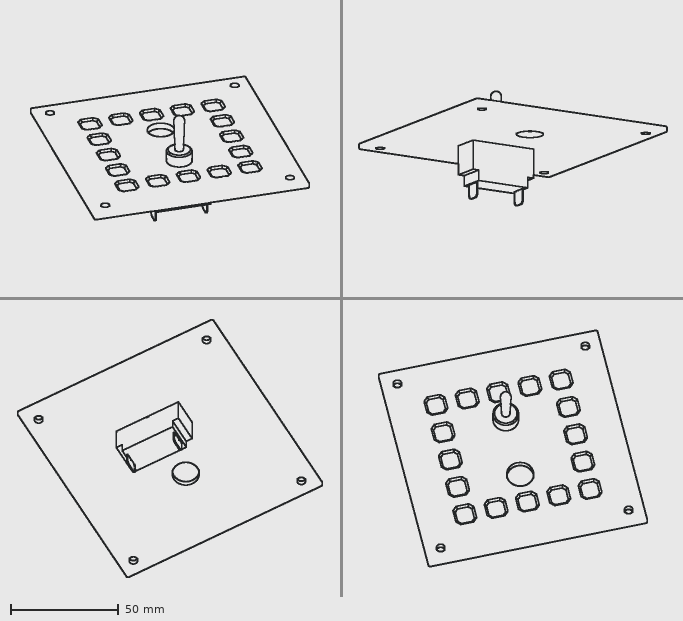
import cadquery as cq

PANEL_SIDE = 105.0
GRID_PITCH = PANEL_SIDE / 7
PANEL_THICKNESS = 3.0
PANEL_EDGE_RADIUS = 1.0
SCREW_HOLE_DIAMETER = 4.0
SCREW_HOLE_SPACING = 6 * GRID_PITCH
OPEN_HOLE_DIAMETER = 12.6
SWITCH_OFFSET = GRID_PITCH

POCKET_COUNT = 5
POCKET_SIDE = 10.0
POCKET_CORNER_CUT = 2.0
POCKET_DEPTH = 1.0
POCKET_WALL_ANGLE = 45.0

HOUSING_WIDTH = 13.0
HOUSING_LENGTH = 33.3
HOUSING_HEIGHT = 14.0
BASE_LENGTH = 27.0
BASE_HEIGHT = 5.0
TERMINAL_WIDTH = 7.0
TERMINAL_THICKNESS = 0.5
TERMINAL_HEIGHT = 7.0
TERMINAL_SPACING = 25.0
TERMINAL_CORNER_RADIUS = 2.0

COLLAR_DIAMETER = 12.0
COLLAR_HEIGHT = 6.0
COLLAR_CHAMFER = 0.7
LEVER_HEIGHT = 18.0
LEVER_FOOT_RADIUS = 2.0
LEVER_TIP_RADIUS = 2.5

COLLAR_TOP = PANEL_THICKNESS + COLLAR_HEIGHT
BASE_BOTTOM = -HOUSING_HEIGHT - BASE_HEIGHT


def pocket_positions():
    """Centres of the outermost ring of cells in a square grid."""
    last = POCKET_COUNT - 1
    return [
        ((column - last / 2) * GRID_PITCH, (row - last / 2) * GRID_PITCH)
        for column in range(POCKET_COUNT)
        for row in range(POCKET_COUNT)
        if column in (0, last) or row in (0, last)
    ]


def make_pocket_cutter():
    """Octagonal plug that narrows downward, with its wide face at Z = 0."""
    outline = cq.Sketch().rect(POCKET_SIDE, POCKET_SIDE).vertices().chamfer(POCKET_CORNER_CUT)
    return cq.Workplane("XY").placeSketch(outline).extrude(-POCKET_DEPTH, taper=POCKET_WALL_ANGLE)


def make_panel():
    """Plate with rounded edges, corner screw holes, two switch holes and a ring of pockets."""
    panel = (
        cq.Workplane("XY")
        .box(PANEL_SIDE, PANEL_SIDE, PANEL_THICKNESS, centered=(True, True, False))
        .edges()
        .fillet(PANEL_EDGE_RADIUS)
    )
    panel = (
        panel.faces(">Z")
        .workplane(origin=(0, 0, PANEL_THICKNESS))
        .rect(SCREW_HOLE_SPACING, SCREW_HOLE_SPACING, forConstruction=True)
        .vertices()
        .hole(SCREW_HOLE_DIAMETER)
    )
    for x, diameter in ((-SWITCH_OFFSET, OPEN_HOLE_DIAMETER), (SWITCH_OFFSET, COLLAR_DIAMETER)):
        panel = panel.cut(cq.Workplane("XY").center(x, 0).circle(diameter / 2).extrude(PANEL_THICKNESS))

    pocket = make_pocket_cutter()
    for x, y in pocket_positions():
        panel = panel.cut(pocket.translate((x, y, PANEL_THICKNESS)))
    return panel


def make_housing():
    """Box under the panel with a shorter base below it."""
    upper = cq.Workplane("XY").rect(HOUSING_WIDTH, HOUSING_LENGTH).extrude(-HOUSING_HEIGHT)
    base = cq.Workplane("XY").rect(HOUSING_WIDTH, BASE_LENGTH).extrude(BASE_BOTTOM)
    return upper.union(base)


def make_terminal():
    """Thin blade below the base with rounded lower corners."""
    return (
        cq.Workplane("XY")
        .workplane(offset=BASE_BOTTOM)
        .rect(TERMINAL_WIDTH, TERMINAL_THICKNESS)
        .extrude(-TERMINAL_HEIGHT)
        .edges("<Z and |Y")
        .fillet(TERMINAL_CORNER_RADIUS)
    )


def make_collar():
    """Round bushing that passes up through the panel, chamfered at its top."""
    return (
        cq.Workplane("XY")
        .circle(COLLAR_DIAMETER / 2)
        .extrude(COLLAR_TOP)
        .faces(">Z")
        .chamfer(COLLAR_CHAMFER)
    )


def make_lever():
    """Revolved lever that widens upward and ends in a hemisphere."""
    tip_top = COLLAR_TOP + LEVER_HEIGHT
    tip_centre = tip_top - LEVER_TIP_RADIUS
    return (
        cq.Workplane("XZ")
        .moveTo(0, COLLAR_TOP)
        .lineTo(LEVER_FOOT_RADIUS, COLLAR_TOP)
        .lineTo(LEVER_TIP_RADIUS, tip_centre)
        .radiusArc((0, tip_top), -LEVER_TIP_RADIUS)
        .close()
        .revolve(360, (0, 0), (0, 1))
    )


def make_switch():
    """Toggle switch: housing, collar, lever and two terminals in one solid."""
    switch = make_housing().union(make_collar()).union(make_lever())
    terminal = make_terminal()
    for side in (-1, 1):
        switch = switch.union(terminal.translate((0, side * TERMINAL_SPACING / 2, 0)))
    return switch.translate((SWITCH_OFFSET, 0, 0))


panel = make_panel()
switch = make_switch()

result = cq.Compound.makeCompound([panel.val(), switch.val()])